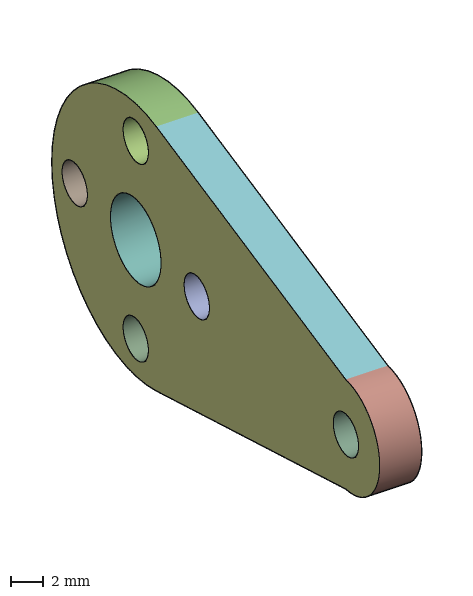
import cadquery as cq
import math

length = 39.0
thickness = 3.0
hub_diameter = 20.0
tip_radius = 4.0
bore_diameter = 6.0
small_hole_diameter = 3.0
bolt_circle_radius = 7.25
bolt_count = 4

hub_radius = hub_diameter / 2
tip_x = length - hub_radius - tip_radius

corner_distance = math.hypot(tip_x, tip_radius)
corner_angle = math.atan2(tip_radius, tip_x)
tangent_angle = corner_angle + math.acos(hub_radius / corner_distance)
tangent_x = hub_radius * math.cos(tangent_angle)
tangent_z = hub_radius * math.sin(tangent_angle)


def lever_plate():
    """Flat plate in the XZ plane, with its back face on Y = 0."""
    return (
        cq.Workplane("XZ")
        .moveTo(tangent_x, tangent_z)
        .lineTo(tip_x, tip_radius)
        .threePointArc((tip_x + tip_radius, 0), (tip_x, -tip_radius))
        .lineTo(tangent_x, -tangent_z)
        .threePointArc((-hub_radius, 0), (tangent_x, tangent_z))
        .close()
        .extrude(thickness)
    )


def through_holes(centers, diameter):
    """Cutters that pass right through the plate."""
    return cq.Workplane("XZ").pushPoints(centers).circle(diameter / 2).extrude(thickness)


bolt_angles = [2 * math.pi * i / bolt_count for i in range(bolt_count)]
bolt_centers = [
    (bolt_circle_radius * math.cos(angle), bolt_circle_radius * math.sin(angle))
    for angle in bolt_angles
]

result = (
    lever_plate()
    .cut(through_holes([(0, 0)], bore_diameter))
    .cut(through_holes(bolt_centers + [(tip_x, 0)], small_hole_diameter))
)